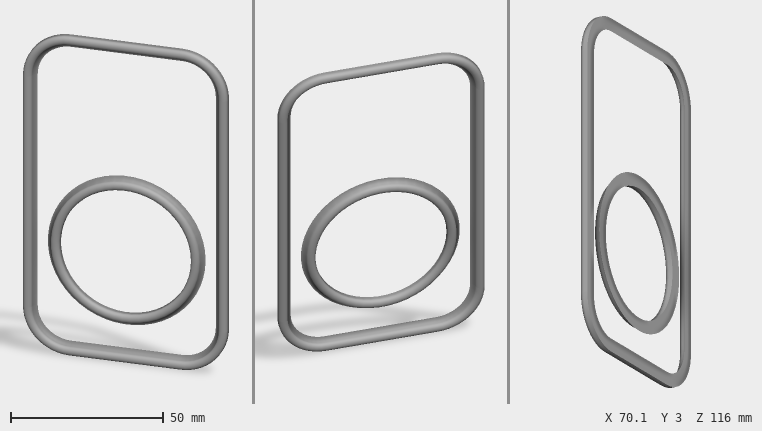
import cadquery as cq
import math

frame_height = 116.0
frame_width = 70.1
frame_corner_radius = 16.0
ring_outer_diameter = 54.0
ring_drop = 18.0
arc_radius = 1.5

band_width = 3 * arc_radius
arc_offset = arc_radius * math.cos(math.radians(45))


def draw_band_section(plane, x_wall):
    """Section of a band, drawn on a plane whose local y is world +Y.

    From a straight wall at x_wall, it rounds up to a crest, rounds down again
    and flares through a hollow cove into a thin edge on the back face.
    """
    def point(across, forward):
        return (x_wall + across, -forward)

    crest_center = arc_radius
    cove_center = band_width
    return (
        plane.moveTo(*point(0, 0))
        .lineTo(*point(0, arc_radius))
        .threePointArc(
            point(crest_center - arc_offset, arc_radius + arc_offset),
            point(crest_center, 2 * arc_radius),
        )
        .threePointArc(
            point(crest_center + arc_offset, arc_radius + arc_offset),
            point(2 * arc_radius, arc_radius),
        )
        .threePointArc(
            point(cove_center - arc_offset, arc_radius - arc_offset),
            point(band_width, 0),
        )
        .close()
    )


def make_frame_path():
    """Outer outline of the frame on the back face, clockwise from the left wall."""
    half_width = frame_width / 2
    half_height = frame_height / 2
    corner_x = half_width - frame_corner_radius
    corner_z = half_height - frame_corner_radius
    return (
        cq.Workplane("XZ")
        .moveTo(-half_width, -corner_z)
        .lineTo(-half_width, corner_z)
        .radiusArc((-corner_x, half_height), frame_corner_radius)
        .lineTo(corner_x, half_height)
        .radiusArc((half_width, corner_z), frame_corner_radius)
        .lineTo(half_width, -corner_z)
        .radiusArc((corner_x, -half_height), frame_corner_radius)
        .lineTo(-corner_x, -half_height)
        .radiusArc((-half_width, -corner_z), frame_corner_radius)
        .close()
    )


def make_frame():
    """Rounded rectangular band with its wall outside and its cove inside."""
    start_z = frame_corner_radius - frame_height / 2
    plane = cq.Workplane("XY", origin=(0, 0, start_z))
    section = draw_band_section(plane, -frame_width / 2)
    return section.sweep(make_frame_path())


def make_ring():
    """Circular band with its wall inside and its cove outside."""
    inner_radius = ring_outer_diameter / 2 - band_width
    plane = cq.Workplane("XY", origin=(0, 0, -ring_drop))
    section = draw_band_section(plane, inner_radius)
    return section.revolve(360, (0, 0, 0), (0, 1, 0))


frame = make_frame()
ring = make_ring()

result = cq.Compound.makeCompound([frame.val(), ring.val()])